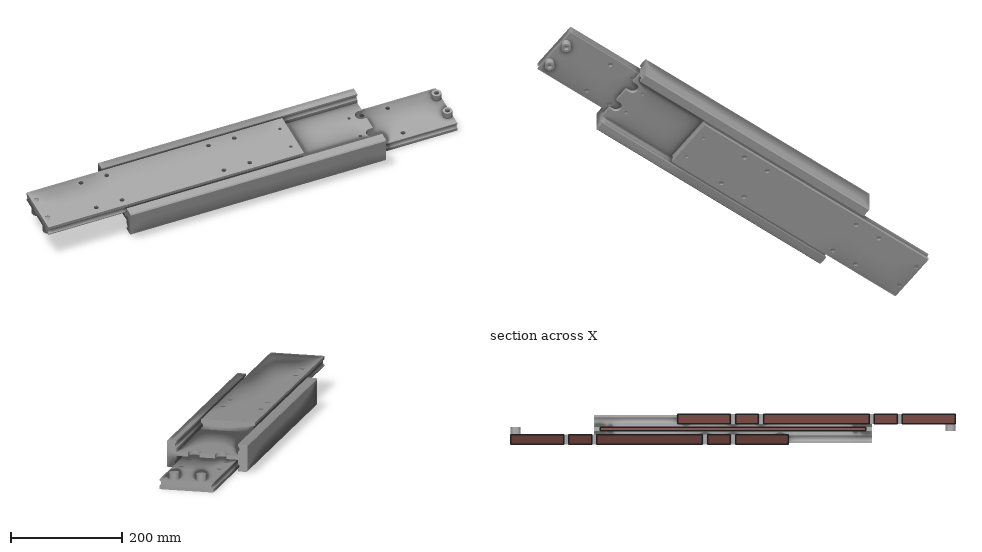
import cadquery as cq
import math

total_length = 800.0
total_height = 55.0
body_length = 500.0

carriage_width = 150.0
rail_height = 50.0
rail_width = 18.0
rail_chamfer = 2.0
web_thickness = 7.0
notch_width = 22.0
notch_depth = 18.0
web_hole_diameter = 6.0
web_hole_inset = 30.0

plate_width = 100.0
plate_thickness = 18.0
mount_hole_diameter = 9.0
mount_hole_x = 35.0
mount_hole_inset = 100.0
mount_hole_pitch = 50.0
pin_hole_diameter = 6.0
pin_hole_inset = 15.0

stop_spacing = 50.0
stop_diameter = 18.0
stop_height = 13.0
stop_socket_diameter = 10.0
stop_socket_depth = 9.0
drill_point_angle = 118.0
stop_recess_diameter = 10.0
stop_recess_depth = 2.0

track_radius = 6.0
track_depth = 3.0
track_inset = 7.0

rail_inner_x = carriage_width / 2 - rail_width
plate_outer_z = total_height / 2
plate_inner_z = plate_outer_z - plate_thickness
plate_outer_y = -total_length / 2
plate_inner_y = plate_outer_y + body_length
track_z = plate_inner_z + track_inset
stop_x = stop_spacing / 2
stop_y = plate_outer_y + stop_diameter / 2
stop_tip_z = plate_inner_z - stop_height


def upright_cylinders(points, diameter, bottom_z, height):
    """Vertical cylinders standing on bottom_z, one at each (x, y) point."""
    base = cq.Workplane("XY", origin=(0, 0, bottom_z))
    return base.pushPoints(points).circle(diameter / 2).extrude(height)


def mirrored_pairs(x, y_values):
    """Points at -x and +x for each y."""
    return [(side * x, y) for y in y_values for side in (-1, 1)]


def track_cutter(face_x, open_side):
    """Cylinder along Y that cuts a track into the face at face_x, which faces open_side (-1 or 1)."""
    axis_x = face_x + open_side * (track_radius - track_depth)
    return (
        cq.Workplane("XZ")
        .center(axis_x, track_z)
        .circle(track_radius)
        .extrude(total_length, both=True)
    )


def make_rail():
    """Rail on the +X side, with an upper and a lower track on its inner face."""
    rail = (
        cq.Workplane("XY")
        .box(rail_width, body_length, rail_height)
        .edges("|Y and >X")
        .chamfer(rail_chamfer)
        .translate((rail_inner_x + rail_width / 2, 0, 0))
    )
    track = track_cutter(rail_inner_x, -1)
    return rail.cut(track).cut(track.mirror("XY"))


def make_web():
    """Web between the rails, with two notches and two small holes at each end."""
    web = cq.Workplane("XY").box(2 * rail_inner_x, body_length, web_thickness)
    notches = (
        cq.Workplane("XY")
        .rarray(stop_spacing, body_length, 2, 2)
        .slot2D(2 * notch_depth, notch_width, 90)
        .extrude(web_thickness, both=True)
    )
    hole_y = body_length / 2 - web_hole_inset
    hole_points = mirrored_pairs(stop_x, (-hole_y, hole_y))
    holes = upright_cylinders(hole_points, web_hole_diameter, -web_thickness / 2, web_thickness)
    return web.cut(notches).cut(holes)


def make_carriage():
    rail = make_rail()
    return make_web().union(rail).union(rail.mirror("YZ"))


def make_stop_socket():
    """Drilled blind hole with its mouth at the origin and its conical end pointing up."""
    radius = stop_socket_diameter / 2
    point_z = stop_socket_depth + radius / math.tan(math.radians(drill_point_angle / 2))
    profile = [(0, 0), (radius, 0), (radius, stop_socket_depth), (0, point_z)]
    return cq.Workplane("XZ").polyline(profile).close().revolve(360, (0, 0, 0), (0, 1, 0))


def make_plate_blank():
    """Upper plate with a track in each long side, without holes or stops."""
    plate = (
        cq.Workplane("XY")
        .box(plate_width, body_length, plate_thickness)
        .translate((0, plate_outer_y + body_length / 2, plate_inner_z + plate_thickness / 2))
    )
    for side in (-1, 1):
        plate = plate.cut(track_cutter(side * plate_width / 2, side))
    return plate


def drill_plate(plate):
    """Cut the through holes: two pairs for mounting near each end and one pin pair at the inner end."""
    mount_insets = (mount_hole_inset, mount_hole_inset + mount_hole_pitch)
    mount_y = [plate_inner_y - inset for inset in mount_insets]
    mount_y += [plate_outer_y + inset for inset in mount_insets]
    mount_points = mirrored_pairs(mount_hole_x, mount_y)
    pin_points = mirrored_pairs(stop_x, (plate_inner_y - pin_hole_inset,))
    mount_holes = upright_cylinders(mount_points, mount_hole_diameter, plate_inner_z, plate_thickness)
    pin_holes = upright_cylinders(pin_points, pin_hole_diameter, plate_inner_z, plate_thickness)
    return plate.cut(mount_holes).cut(pin_holes)


def add_stops(plate):
    """Add the two stops below the plate, with their sockets and the recesses behind them."""
    points = mirrored_pairs(stop_x, (stop_y,))
    recess_z = plate_outer_z - stop_recess_depth
    plate = plate.union(upright_cylinders(points, stop_diameter, stop_tip_z, stop_height))
    plate = plate.cut(upright_cylinders(points, stop_recess_diameter, recess_z, stop_recess_depth))
    for x, y in points:
        plate = plate.cut(make_stop_socket().translate((x, y, stop_tip_z)))
    return plate


def make_upper_plate():
    return add_stops(drill_plate(make_plate_blank()))


carriage = make_carriage().solids()

plates = []
for turn in (0, 180):
    plate = make_upper_plate().rotate((0, 0, 0), (1, 0, 0), turn)
    plates.append(plate.solids().val())

result = cq.Compound.makeCompound([carriage.val(), *plates])